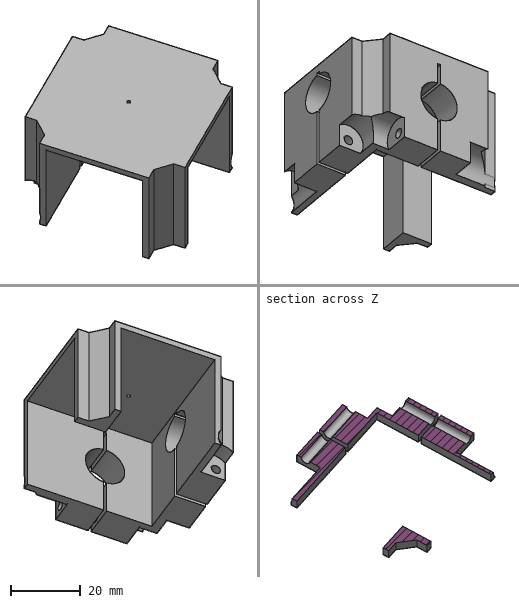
import cadquery as cq

width = 49.8
height = 34.1
arm_width = 34.05
notch_side = 3.55
half = width / 2
arm_half = arm_width / 2
notch_inner = half - notch_side

skin = 2.05
cavity_half = arm_half - skin
cavity_height = height - skin
center_hole_diameter = 1.0

bore_diameter = 12.55
slit_width = 1.0
side_bore_z = height / 2
side_slit_top = 30.05
back_bore_z = 24.5
back_slit_top = 31.6

screw_diameter = 2.9
screw_inset = 3.05
screw_z = 3.0
head_diameter = 10.25
head_floor = 10.85
nut_inset = 3.65
nut_floor = 12.0


def box_between(low, high):
    """Axis-aligned box between two opposite corners."""
    size = [b - a for a, b in zip(low, high)]
    return cq.Workplane("XY").box(*size, centered=False).translate(low)


def cylinder_along_y(diameter, x, z, y_start, y_end):
    solid = cq.Solid.makeCylinder(
        diameter / 2, y_end - y_start, cq.Vector(x, y_start, z), cq.Vector(0, 1, 0)
    )
    return cq.Workplane(obj=solid)


def wall_to_back(cutter):
    """Turn a cutter for the -X wall by a quarter turn onto the +Y wall."""
    return cutter.rotate((0, 0, 0), (0, 0, 1), -90)


def body():
    outline = []
    for x_sign, y_sign in ((1, 1), (-1, 1), (-1, -1), (1, -1)):
        corner = [
            (half, arm_half),
            (notch_inner, arm_half),
            (arm_half, notch_inner),
            (arm_half, half),
        ]
        if x_sign * y_sign < 0:
            corner.reverse()
        outline += [(x_sign * x, y_sign * y) for x, y in corner]
    return cq.Workplane("XY").polyline(outline).close().extrude(height)


def cavity():
    """L-shaped hollow that leaves a corner post between its two openings."""
    front_channel = box_between((-cavity_half, -half, 0), (cavity_half, cavity_half, cavity_height))
    side_channel = box_between((-cavity_half, -cavity_half, 0), (half, cavity_half, cavity_height))
    return front_channel.union(side_channel)


def clamp_cut(bore_z, slit_top):
    """Cross bore and vertical slit through the +Y wall."""
    bore = cylinder_along_y(bore_diameter, 0, bore_z, 0, half)
    slit = box_between((-slit_width / 2, 0, 0), (slit_width / 2, half, slit_top))
    return bore.union(slit)


def screw_cut():
    """Screw hole in the -X wall with a head seat at -Y and a nut seat at +Y."""
    screw_x = -half + screw_inset
    nut_x = -half + nut_inset
    hole = cylinder_along_y(screw_diameter, screw_x, screw_z, -half, half)
    head = cylinder_along_y(head_diameter, screw_x, screw_z, -half, -head_floor)
    nut = cylinder_along_y(head_diameter, nut_x, screw_z, nut_floor, half)
    return hole.union(head).union(nut)


side_clamp = clamp_cut(side_bore_z, side_slit_top).rotate((0, 0, 0), (0, 0, 1), 90)
back_clamp = clamp_cut(back_bore_z, back_slit_top)

result = body().cut(cavity()).cut(side_clamp).cut(back_clamp)
for screw in (screw_cut(), wall_to_back(screw_cut())):
    result = result.cut(screw)
result = result.faces(">Z").workplane(origin=(0, 0, height)).hole(center_hole_diameter)